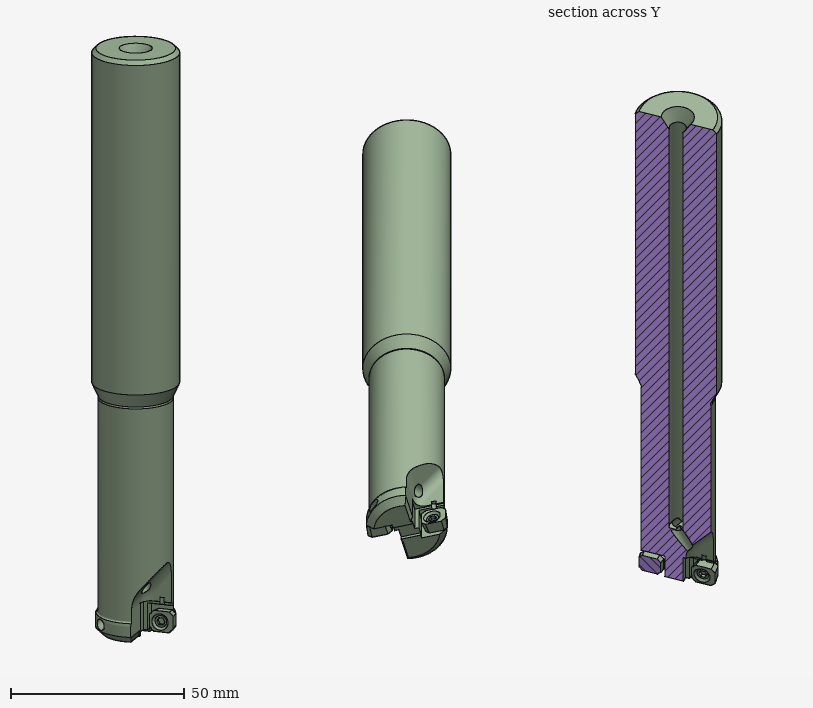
import cadquery as cq
import math

LENGTH = 176.8
SHANK_RADIUS = 12.7
SHANK_CHAMFER = 1.2
SHANK_BOTTOM_Z = 75.9
TAPER_BOTTOM_Z = 71.6
TAPER_BOTTOM_RADIUS = 10.8
NECK_TOP_Z = 71.0
NECK_RADIUS = 11.0
FLANGE_RADIUS = 11.7
FLANGE_TOP_Z = 6.2
FLANGE_LIP_HEIGHT = 0.9
FLANGE_FILLET = 0.5
FLANGE_CHAMFER = 2.1

BORE_RADIUS = 2.5
BORE_MOUTH_RADIUS = 4.8
BORE_MOUTH_ANGLE = 60.0
BORE_END_Z = 20.3
BRANCH_RADIUS = 1.8
BRANCH_START = cq.Vector(0, -1.2, BORE_END_Z)
BRANCH_EXIT = cq.Vector(4.0, -2.5, 14.7)
BRANCH_LENGTH = 10.6

FLUTE_WALL_X = 2.7
FLUTE_FLOOR_Y = 0
FLUTE_FILLET = 3.0
FLUTE_BEND_Z = 10.0
FLUTE_BEND_RADIUS = 9.4
FLUTE_LEAN = 40.0

RELIEF_WALL_X = 2.3
RELIEF_FRONT_Y = -3.4
RELIEF_TOP_Z = FLUTE_BEND_Z
RELIEF_FLOOR_Y = 0.4
TOE_HEIGHT = 2.0
TOE_SETBACK = 0.7
SEAT_WALL_X = 3.5
SEAT_MOUTH_TOP_Z = 9.2
SEAT_FLOOR_TOP_Z = 8.3
SEAT_FLOOR_Y = 3.4
NOTCH_RADIUS = 0.7
NOTCH_TOP_Z = 11.5

END_SLOT_WIDTH = 4.6
END_SLOT_DEPTH = 1.0

INSERT_FACE_Y = -0.4
INSERT_INNER_X = 4.5
INSERT_BOTTOM_Z = END_SLOT_DEPTH
INSERT_HEIGHT = 6.4
INSERT_CORNER = 1.2
INSERT_CLEARANCE_ANGLE = 7.0
RECESS_RADIUS = 2.5
RECESS_FLOOR_RADIUS = 1.8
RECESS_DEPTH = 0.7
SOCKET_DIAMETER = 2.5
SOCKET_DEPTH = 1.0

SCREW_X = 7.6
SCREW_Z = 4.0
SCREW_HOLE_RADIUS = 1.6

INSERT_WIDTH = FLANGE_RADIUS - INSERT_INNER_X
INSERT_CENTER_X = INSERT_INNER_X + INSERT_WIDTH / 2
INSERT_CENTER_Z = INSERT_BOTTOM_Z + INSERT_HEIGHT / 2

EDGE_ANGLES = [0, 180]

OVERRUN = 17.7


def turned_about_axis(shape, angle):
    return shape.rotate((0, 0, 0), (0, 0, 1), angle)


def turned_blank():
    fillet_mid = FLANGE_FILLET * (1 - math.sqrt(0.5))
    return (
        cq.Workplane("XZ")
        .moveTo(0, 0)
        .lineTo(FLANGE_RADIUS - FLANGE_CHAMFER, 0)
        .lineTo(FLANGE_RADIUS, FLANGE_CHAMFER)
        .lineTo(FLANGE_RADIUS, FLANGE_TOP_Z - FLANGE_LIP_HEIGHT)
        .lineTo(NECK_RADIUS + FLANGE_FILLET, FLANGE_TOP_Z)
        .threePointArc(
            (NECK_RADIUS + fillet_mid, FLANGE_TOP_Z + fillet_mid),
            (NECK_RADIUS, FLANGE_TOP_Z + FLANGE_FILLET),
        )
        .lineTo(NECK_RADIUS, NECK_TOP_Z)
        .lineTo(TAPER_BOTTOM_RADIUS, TAPER_BOTTOM_Z)
        .lineTo(SHANK_RADIUS, SHANK_BOTTOM_Z)
        .lineTo(SHANK_RADIUS, LENGTH - SHANK_CHAMFER)
        .lineTo(SHANK_RADIUS - SHANK_CHAMFER, LENGTH)
        .lineTo(0, LENGTH)
        .close()
        .revolve(360, (0, 0, 0), (0, 1, 0))
    )


def coolant_bore():
    mouth_depth = (BORE_MOUTH_RADIUS - BORE_RADIUS) / math.tan(math.radians(BORE_MOUTH_ANGLE / 2))
    return (
        cq.Workplane("XZ")
        .moveTo(0, BORE_END_Z)
        .lineTo(BORE_RADIUS, BORE_END_Z)
        .lineTo(BORE_RADIUS, LENGTH - mouth_depth)
        .lineTo(BORE_MOUTH_RADIUS, LENGTH)
        .lineTo(0, LENGTH)
        .close()
        .revolve(360, (0, 0, 0), (0, 1, 0))
    )


def coolant_branch():
    direction = BRANCH_EXIT - BRANCH_START
    return cq.Workplane(cq.Solid.makeCylinder(BRANCH_RADIUS, BRANCH_LENGTH, BRANCH_START, direction))


def flute():
    """Upright wall that bends outwards into a leaning run-out, with a rounded inner corner."""
    lean = math.radians(FLUTE_LEAN)
    bend_center_x = FLUTE_WALL_X + FLUTE_BEND_RADIUS

    def bend_point(angle):
        return (
            bend_center_x - FLUTE_BEND_RADIUS * math.cos(angle),
            FLUTE_BEND_Z + FLUTE_BEND_RADIUS * math.sin(angle),
        )

    bend_end_x, bend_end_z = bend_point(lean)
    run_out = OVERRUN / math.cos(lean)
    run_out_x = bend_end_x + run_out * math.sin(lean)
    run_out_z = bend_end_z + run_out * math.cos(lean)
    return (
        cq.Workplane("XZ", origin=(0, FLUTE_FLOOR_Y, 0))
        .moveTo(FLUTE_WALL_X, -OVERRUN)
        .lineTo(FLUTE_WALL_X, FLUTE_BEND_Z)
        .threePointArc(bend_point(lean / 2), (bend_end_x, bend_end_z))
        .lineTo(run_out_x, run_out_z)
        .lineTo(run_out_x, -OVERRUN)
        .close()
        .extrude(OVERRUN)
        .faces(">Y")
        .edges()
        .fillet(FLUTE_FILLET)
    )


def insert_relief():
    """Shallow clearance around the insert."""
    return cq.Workplane("XY", origin=(RELIEF_WALL_X, RELIEF_FRONT_Y, -OVERRUN)).box(
        OVERRUN, RELIEF_FLOOR_Y - RELIEF_FRONT_Y, RELIEF_TOP_Z + OVERRUN, centered=False
    )


def insert_seat():
    """Deep seat whose ceiling slopes down from the mouth to the floor."""
    return (
        cq.Workplane("YZ", origin=(SEAT_WALL_X, 0, 0))
        .moveTo(RELIEF_FLOOR_Y, -OVERRUN)
        .lineTo(RELIEF_FLOOR_Y, SEAT_MOUTH_TOP_Z)
        .lineTo(SEAT_FLOOR_Y, SEAT_FLOOR_TOP_Z)
        .lineTo(SEAT_FLOOR_Y, -OVERRUN)
        .close()
        .extrude(OVERRUN)
    )


def seat_notch():
    """Half-round groove in the flute floor above the seat."""
    return (
        cq.Workplane("XY", origin=(INSERT_CENTER_X, RELIEF_FLOOR_Y, INSERT_CENTER_Z))
        .circle(NOTCH_RADIUS)
        .extrude(NOTCH_TOP_Z - INSERT_CENTER_Z)
    )


def flute_toe():
    """Sloped setback at the foot of the flute wall."""
    return (
        cq.Workplane("XZ", origin=(0, RELIEF_FRONT_Y, 0))
        .moveTo(FLUTE_WALL_X, TOE_HEIGHT)
        .lineTo(FLUTE_WALL_X - TOE_SETBACK, 0)
        .lineTo(FLUTE_WALL_X, 0)
        .close()
        .extrude(OVERRUN)
    )


def screw_hole():
    return (
        cq.Workplane("XZ", origin=(SCREW_X, OVERRUN, SCREW_Z))
        .circle(SCREW_HOLE_RADIUS)
        .extrude(OVERRUN)
    )


def end_slot():
    return cq.Workplane("XY").box(
        2 * OVERRUN, END_SLOT_WIDTH, END_SLOT_DEPTH, centered=(True, True, False)
    )


def make_holder():
    body = turned_blank().cut(coolant_bore()).cut(end_slot())
    cutters = [
        flute(),
        flute_toe(),
        insert_relief(),
        insert_seat(),
        seat_notch(),
        screw_hole(),
        coolant_branch(),
    ]
    for angle in EDGE_ANGLES:
        for cutter in cutters:
            body = body.cut(turned_about_axis(cutter, angle))
    return body


def insert_recess():
    """Countersunk recess with a blind six-sided socket in its floor."""
    countersink = cq.Workplane(cq.Solid.makeCone(
        RECESS_RADIUS,
        RECESS_FLOOR_RADIUS,
        RECESS_DEPTH,
        cq.Vector(SCREW_X, INSERT_FACE_Y, SCREW_Z),
        cq.Vector(0, 1, 0),
    ))
    socket = (
        cq.Workplane("XZ", origin=(SCREW_X, INSERT_FACE_Y, SCREW_Z))
        .polygon(6, SOCKET_DIAMETER)
        .extrude(-(RECESS_DEPTH + SOCKET_DEPTH))
    )
    return countersink.union(socket)


def make_insert(angle):
    """Plate whose flanks taper inwards behind the cutting face."""
    outline = (
        cq.Sketch()
        .rect(INSERT_WIDTH, INSERT_HEIGHT)
        .vertices()
        .chamfer(INSERT_CORNER)
    )
    plate = (
        cq.Workplane("XZ", origin=(INSERT_CENTER_X, INSERT_FACE_Y, INSERT_CENTER_Z))
        .placeSketch(outline)
        .extrude(INSERT_FACE_Y - SEAT_FLOOR_Y, taper=INSERT_CLEARANCE_ANGLE)
    )
    return turned_about_axis(plate.cut(insert_recess()), angle)


holder = make_holder()
inserts = [make_insert(angle) for angle in EDGE_ANGLES]

result = cq.Compound.makeCompound([holder.val(), *[insert.val() for insert in inserts]])